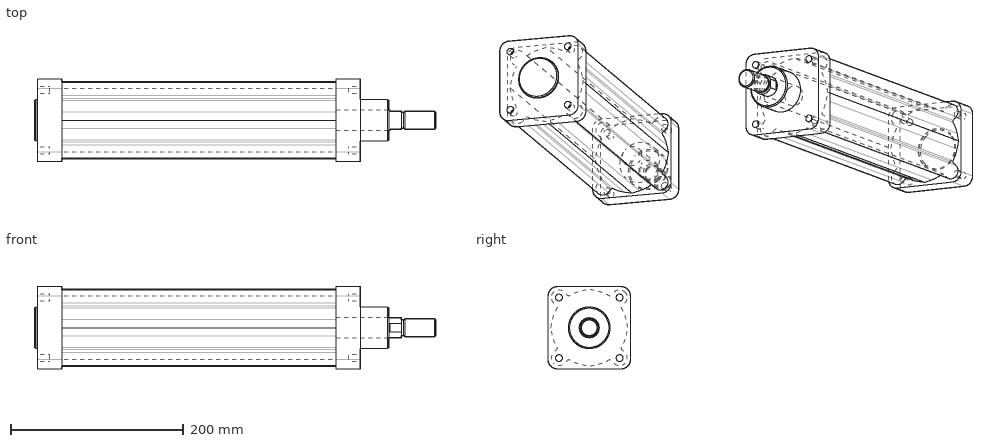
import cadquery as cq
import math

total_length = 466.0
rear_boss_length = 3.3
cap_thickness = 28.5
barrel_length = 318.5
front_boss_length = 33.0
rod_shoulder_length = 1.5
rod_flat_length = 13.0
rod_neck_length = 3.0

rear_cap_start = rear_boss_length
barrel_start = rear_cap_start + cap_thickness
front_cap_start = barrel_start + barrel_length
front_boss_start = front_cap_start + cap_thickness
front_boss_end = front_boss_start + front_boss_length
rod_flat_start = front_boss_end + rod_shoulder_length
rod_flat_end = rod_flat_start + rod_flat_length
rod_thread_start = rod_flat_end + rod_neck_length

cap_width = 96.0
cap_corner_radius = 11.0
boss_diameter = 48.5
boss_chamfer = 1.5
screw_pitch = 70.5
screw_hole_diameter = 8.0
screw_hole_depth = 14.0

barrel_radius = 44.0
ridge_half_width = 9.5
lobe_radius = 9.0
lobe_root_fillet = 2.0
position_tolerance = 0.05

rod_diameter = 23.5
rod_across_flats = 21.0
neck_diameter = 18.5
thread_diameter = 21.0
thread_chamfer = 1.5


def disc(diameter, start, length):
    """Round bar along X."""
    return cq.Workplane("YZ").workplane(offset=start).circle(diameter / 2).extrude(length)


def cap_plate(start):
    """Square plate with rounded corners along X."""
    plate = cq.Workplane("YZ").workplane(offset=start).rect(cap_width, cap_width).extrude(cap_thickness)
    return plate.edges("|X").fillet(cap_corner_radius)


def screw_hole_pattern(start):
    """Four blind mounting holes along X, concentric with the barrel lobes."""
    return (
        cq.Workplane("YZ")
        .workplane(offset=start)
        .rect(screw_pitch, screw_pitch, forConstruction=True)
        .vertices()
        .circle(screw_hole_diameter / 2)
        .extrude(screw_hole_depth)
    )


def make_rear_cap():
    boss = disc(boss_diameter, 0, rear_boss_length).faces("<X").chamfer(boss_chamfer)
    screw_holes = screw_hole_pattern(rear_cap_start)
    return cap_plate(rear_cap_start).union(boss).cut(screw_holes)


def make_front_cap():
    boss = disc(boss_diameter, front_boss_start, front_boss_length).faces(">X").chamfer(boss_chamfer)
    rod_bore = disc(rod_diameter, front_cap_start, front_boss_end - front_cap_start)
    screw_holes = screw_hole_pattern(front_boss_start - screw_hole_depth)
    return cap_plate(front_cap_start).union(boss).cut(rod_bore).cut(screw_holes)


def is_lobe_root(edge):
    """True for an edge where a lobe flat meets the round body."""
    center = edge.Center()
    distance_along_lobe = (abs(center.y) + abs(center.z)) / math.sqrt(2)
    root_distance = math.sqrt(barrel_radius**2 - lobe_radius**2)
    return abs(distance_along_lobe - root_distance) < position_tolerance


def make_barrel():
    section = cq.Workplane("YZ").workplane(offset=barrel_start)
    barrel = section.circle(barrel_radius).extrude(barrel_length)

    tangent_angle = math.asin(ridge_half_width / barrel_radius)
    tangent_height = barrel_radius * math.cos(tangent_angle)
    ridge_height = barrel_radius / math.cos(tangent_angle)
    ridge = (
        section.moveTo(0, 0)
        .lineTo(ridge_half_width, tangent_height)
        .lineTo(0, ridge_height)
        .lineTo(-ridge_half_width, tangent_height)
        .close()
        .extrude(barrel_length)
    )

    lobe_distance = screw_pitch / math.sqrt(2)
    lobe = (
        section.moveTo(-lobe_radius, 0)
        .lineTo(-lobe_radius, lobe_distance)
        .threePointArc((0, lobe_distance + lobe_radius), (lobe_radius, lobe_distance))
        .lineTo(lobe_radius, 0)
        .close()
        .extrude(barrel_length)
    )
    axis_start = (0, 0, 0)
    axis_end = (1, 0, 0)
    quarter_turn = 90
    for side in range(4):
        turn = quarter_turn * side
        barrel = barrel.union(ridge.rotate(axis_start, axis_end, turn))
        barrel = barrel.union(lobe.rotate(axis_start, axis_end, turn + quarter_turn / 2))

    root_edges = barrel.edges("|X").filter(is_lobe_root)
    return root_edges.fillet(lobe_root_fillet)


def make_rod():
    shank = disc(rod_diameter, front_cap_start, rod_flat_end - front_cap_start)
    for side in (-1, 1):
        flat_cutter = (
            cq.Workplane("XY")
            .box(rod_flat_length, rod_diameter, rod_diameter, centered=(False, True, True))
            .translate((rod_flat_start, side * (rod_across_flats + rod_diameter) / 2, 0))
        )
        shank = shank.cut(flat_cutter)
    neck = disc(neck_diameter, rod_flat_end, rod_neck_length)
    thread = disc(thread_diameter, rod_thread_start, total_length - rod_thread_start)
    thread = thread.faces("<X or >X").chamfer(thread_chamfer)
    return shank.union(neck).union(thread)


rear_cap = make_rear_cap()
barrel = make_barrel()
front_cap = make_front_cap()
rod = make_rod()

result = cq.Compound.makeCompound([rear_cap.val(), barrel.val(), front_cap.val(), rod.val()])